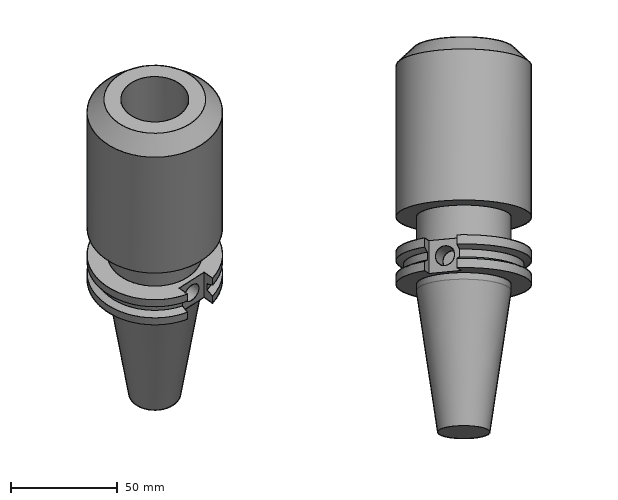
import cadquery as cq
import math


gauge_diameter = 44.45
taper_length = 68.25
taper_ratio = 7 / 24

flange_diameter = 63.5
flange_bottom = 3.175
flange_thickness = 15.875
flange_top = flange_bottom + flange_thickness
flange_middle = (flange_bottom + flange_top) / 2

groove_floor_diameter = 56.6
groove_mouth_width = 7.0
groove_flank_angle = 25
groove_center = 11.1

nose_height = 116.84
body_diameter = 63.5
body_length = 81.0
body_bottom = nose_height - body_length
nose_chamfer = 7.94
bore_diameter = 31.75
bore_depth = body_length

slot_width = 16.1
slot_floor_distance = 25.0
slot_hole_diameter = 9.5
slot_hole_depth = 10.0


def make_blank():
    """Revolve the taper, flange, neck and chamfered body."""
    gauge_radius = gauge_diameter / 2
    tip_radius = gauge_radius - taper_length * taper_ratio / 2
    flange_radius = flange_diameter / 2
    body_radius = body_diameter / 2
    return (
        cq.Workplane("XZ")
        .moveTo(0, -taper_length)
        .lineTo(tip_radius, -taper_length)
        .lineTo(gauge_radius, 0)
        .lineTo(gauge_radius, flange_bottom)
        .lineTo(flange_radius, flange_bottom)
        .lineTo(flange_radius, flange_top)
        .lineTo(gauge_radius, flange_top)
        .lineTo(gauge_radius, body_bottom)
        .lineTo(body_radius, body_bottom)
        .lineTo(body_radius, nose_height - nose_chamfer)
        .lineTo(body_radius - nose_chamfer, nose_height)
        .lineTo(0, nose_height)
        .close()
        .revolve(360, (0, 0, 0), (0, 1, 0))
    )


def make_gripper_groove():
    """Ring with sloped flanks that cuts the groove into the flange rim."""
    floor_radius = groove_floor_diameter / 2
    mouth_radius = flange_diameter / 2
    flank_height = (mouth_radius - floor_radius) * math.tan(math.radians(groove_flank_angle))
    half_mouth = groove_mouth_width / 2
    half_floor = half_mouth - flank_height
    return (
        cq.Workplane("XZ")
        .moveTo(floor_radius, groove_center - half_floor)
        .lineTo(mouth_radius, groove_center - half_mouth)
        .lineTo(mouth_radius, groove_center + half_mouth)
        .lineTo(floor_radius, groove_center + half_floor)
        .close()
        .revolve(360, (0, 0, 0), (0, 1, 0))
    )


def make_bore():
    """Blind tool bore, open at the nose."""
    return (
        cq.Workplane("XY")
        .workplane(offset=nose_height - bore_depth)
        .circle(bore_diameter / 2)
        .extrude(bore_depth)
    )


def make_drive_slot(side):
    """Flat-floored slot through the flange with a blind hole in its floor; side is -1 or +1."""
    slot_depth = flange_diameter / 2 - slot_floor_distance
    slot = (
        cq.Workplane("XY")
        .box(slot_depth, slot_width, flange_thickness)
        .translate((side * (slot_floor_distance + slot_depth / 2), 0, flange_middle))
    )
    hole = (
        cq.Workplane("YZ")
        .workplane(offset=side * slot_floor_distance)
        .center(0, flange_middle)
        .circle(slot_hole_diameter / 2)
        .extrude(-side * slot_hole_depth)
    )
    return slot.union(hole)


result = make_blank().cut(make_gripper_groove()).cut(make_bore())
for slot_side in (-1, 1):
    result = result.cut(make_drive_slot(slot_side))